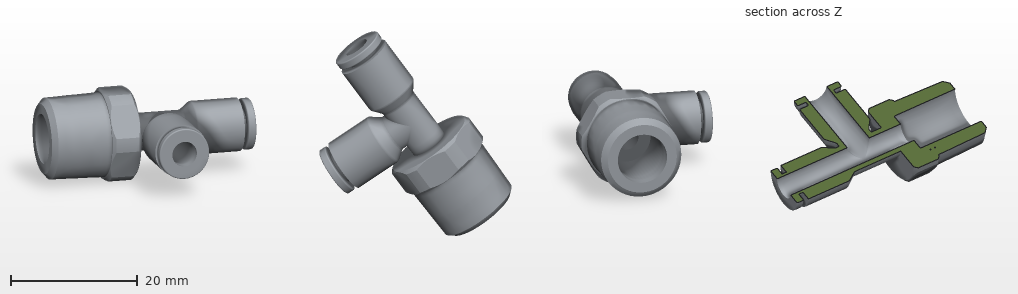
import cadquery as cq

total_length = 34.0
branch_reach = 15.0
branch_y = 19.05

tube_radius = 3.0
sleeve_radius = 4.25
collar_radius = 4.08
collar_length = 1.25
collar_fillet = 0.2
neck_radius = 2.6
neck_length = 0.7
sleeve_length = 7.58
cone_length = 1.7
cone_fillet = 0.48
flow_radius = 2.0

hex_flats = 14.0
hex_corner_radius = 7.5
hex_start = 9.52
hex_end = 14.28
hex_chamfer_width = 0.58
hex_chamfer_height = 0.5

thread_base_radius = 6.73
thread_mid_radius = 6.6
thread_mid_y = 4.55
thread_tip_radius = 6.5
thread_chamfer_width = 0.92
thread_chamfer_length = 0.8
thread_bore_radius = 3.98
thread_bore_depth = 11.22


def revolve_about_y(profile):
    """Turn a closed (radius, axial position) profile about the Y axis."""
    return cq.Workplane("XY").polyline(profile).close().revolve(360, (0, 0), (0, 1))


def cylinder_along_y(radius, start, end):
    return revolve_about_y([(0, start), (radius, start), (radius, end), (0, end)])


def to_branch(arm):
    """Swing an arm from the Y axis onto the branch axis along +X."""
    return arm.rotate((0, 0, 0), (0, 0, 1), -90).translate((0, branch_y, 0))


def push_in_arm(start, end):
    """Tube, cone, sleeve and neck turned in one, with a release collar at the end."""
    collar_start = end - collar_length
    sleeve_end = collar_start - neck_length
    sleeve_start = sleeve_end - sleeve_length
    cone_start = sleeve_start - cone_length
    arm = revolve_about_y([
        (0, start),
        (tube_radius, start),
        (tube_radius, cone_start),
        (sleeve_radius, sleeve_start),
        (sleeve_radius, sleeve_end),
        (neck_radius, sleeve_end),
        (neck_radius, collar_start),
        (0, collar_start),
    ])
    for rim_y in (cone_start, sleeve_start):
        arm = arm.edges(cq.NearestToPointSelector((0, rim_y, 0))).fillet(cone_fillet)
    collar = cylinder_along_y(collar_radius, collar_start, end).edges("%CIRCLE").fillet(collar_fillet)
    return arm.union(collar)


def hexagon():
    """Hexagon with corners on X and flats facing Z, its corners turned and chamfered."""
    prism = (
        cq.Workplane("XZ", origin=(0, hex_end, 0))
        .polygon(6, hex_flats, circumscribed=True)
        .extrude(hex_end - hex_start)
        .rotate((0, 0, 0), (0, 1, 0), 90)
    )
    chamfer_radius = hex_corner_radius - hex_chamfer_width
    envelope = revolve_about_y([
        (0, hex_start),
        (chamfer_radius, hex_start),
        (hex_corner_radius, hex_start + hex_chamfer_height),
        (hex_corner_radius, hex_end - hex_chamfer_height),
        (chamfer_radius, hex_end),
        (0, hex_end),
    ])
    return prism.intersect(envelope)


def threaded_end():
    return revolve_about_y([
        (0, 0),
        (thread_tip_radius - thread_chamfer_width, 0),
        (thread_tip_radius, thread_chamfer_length),
        (thread_mid_radius, thread_mid_y),
        (thread_base_radius, hex_start),
        (0, hex_start),
    ])


body = (
    threaded_end()
    .union(hexagon())
    .union(push_in_arm(hex_end, total_length))
    .union(to_branch(push_in_arm(0, branch_reach)))
)

bores = (
    cylinder_along_y(thread_bore_radius, 0, thread_bore_depth)
    .union(cylinder_along_y(flow_radius, 0, total_length))
    .union(to_branch(cylinder_along_y(flow_radius, 0, branch_reach)))
)

result = body.cut(bores)